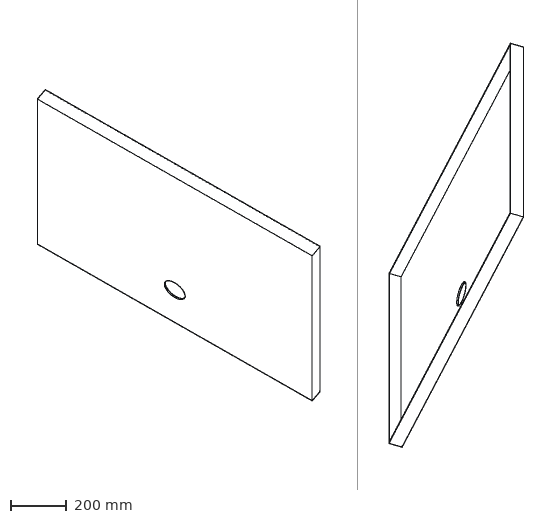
import cadquery as cq

tray_width = 1200.0
tray_depth = 50.0
tray_height = 900.0
wall = 6.0

hole_diameter = 90.0
hole_height = 200.0

tray = cq.Workplane("XY").box(tray_width, tray_depth, tray_height)
tray = tray.faces(">Y").shell(-wall)

result = (
    tray.faces("<Y")
    .workplane(centerOption="CenterOfBoundBox")
    .center(0, hole_height - tray_height / 2)
    .hole(hole_diameter)
)